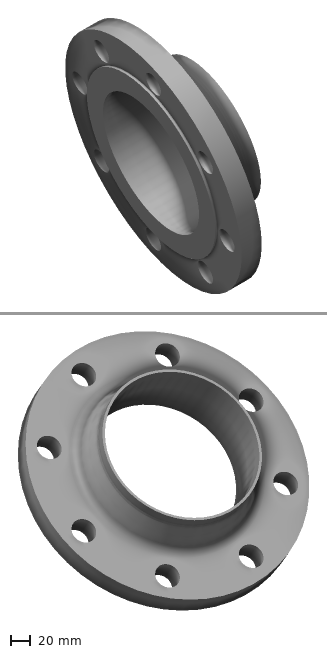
import cadquery as cq

flange_diameter = 300.0
overall_length = 75.0
face_diameter = 218.0
face_height = 3.0
flange_back = 28.0
bore_diameter = 163.2

neck_end_diameter = 168.5
neck_base_diameter = 192.0
neck_straight_length = 13.8
shoulder = overall_length - neck_straight_length
neck_base_fillet = 10.0
neck_shoulder_fillet = 10.0

bolt_count = 8
bolt_circle_diameter = 250.0
bolt_hole_diameter = 26.0


def revolved_body():
    """Plate, raised face and tapered neck as one revolved outline."""
    outline = [
        (0, 0),
        (face_diameter / 2, 0),
        (face_diameter / 2, face_height),
        (flange_diameter / 2, face_height),
        (flange_diameter / 2, flange_back),
        (neck_base_diameter / 2, flange_back),
        (neck_end_diameter / 2, shoulder),
        (neck_end_diameter / 2, overall_length),
        (0, overall_length),
    ]
    body = cq.Workplane("XY").polyline(outline).close().revolve(360, (0, 0), (0, 1))
    return body


def circles_at(part, diameter, position):
    """Circular edges of the given diameter at one Y position."""
    tolerance = 0.0003
    return part.edges("%CIRCLE").filter(
        lambda edge: abs(edge.radius() - diameter / 2) < tolerance
        and abs(edge.Center().y - position) < tolerance
    )


def axial_holes(points, diameter):
    """Cylinders along Y that pass through the whole length at the given workplane points."""
    return points.circle(diameter / 2).extrude(-overall_length)


front_plane = cq.Workplane("XZ")
result = revolved_body()
result = circles_at(result, neck_base_diameter, flange_back).fillet(neck_base_fillet)
result = circles_at(result, neck_end_diameter, shoulder).fillet(neck_shoulder_fillet)

bolt_points = front_plane.polarArray(bolt_circle_diameter / 2, 0, 360, bolt_count)
result = result.cut(axial_holes(front_plane, bore_diameter))
result = result.cut(axial_holes(bolt_points, bolt_hole_diameter))